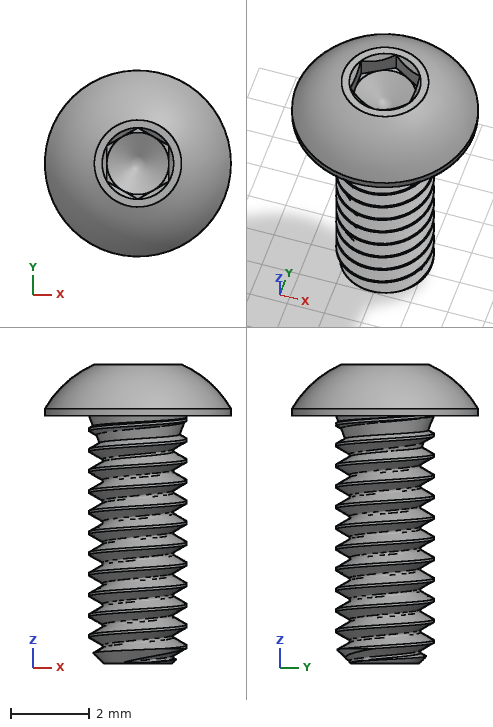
import cadquery as cq
import math

INCH = 25.4

head_diameter = 0.188 * INCH
head_height = 0.052 * INCH
rim_height = 0.18
crown_diameter = 2.23

socket_flats = INCH / 16
socket_depth = 0.55
drill_point_angle = 118

shank_length = INCH / 4
major_diameter = 0.099 * INCH
pitch = INCH / 48
flank_angle = 30
crest_width = pitch / 8
root_width = pitch / 8
first_crest_z = -0.09
neck_length = 0.89
tip_diameter = 1.74

flank_points = 20
turns_below_tip = 1
turns_in_head = 0.5
neck_overlap = 0.03

head_radius = head_diameter / 2
crown_radius = crown_diameter / 2
major_radius = major_diameter / 2
thread_depth = (pitch - crest_width - root_width) / 2 / math.tan(math.radians(flank_angle))
minor_radius = major_radius - thread_depth
neck_overlap_length = neck_length * (thread_depth + neck_overlap) / thread_depth
tip_radius = tip_diameter / 2
flat_radius = socket_flats / 2
corner_radius = flat_radius / math.cos(math.pi / 6)


def revolve_about_axis(profile):
    """Revolve an (r, z) outline drawn on the XZ plane about the Z axis."""
    return profile.close().revolve(360, (0, 0, 0), (0, 1, 0))


def make_head():
    """Spherical dome, centred on the axis, over a short cylindrical rim."""
    centre_z = (crown_radius**2 + head_height**2 - head_radius**2 - rim_height**2) / (
        2 * (head_height - rim_height)
    )
    dome_radius = math.hypot(head_radius, rim_height - centre_z)
    mid_angle = (
        math.atan2(rim_height - centre_z, head_radius)
        + math.atan2(head_height - centre_z, crown_radius)
    ) / 2
    mid_point = (
        dome_radius * math.cos(mid_angle),
        centre_z + dome_radius * math.sin(mid_angle),
    )
    return revolve_about_axis(
        cq.Workplane("XZ")
        .lineTo(head_radius, 0)
        .lineTo(head_radius, rim_height)
        .threePointArc(mid_point, (crown_radius, head_height))
        .lineTo(0, head_height)
    )


def make_neck():
    """Cone from the full shank diameter under the head down to the thread root."""
    return revolve_about_axis(
        cq.Workplane("XZ")
        .lineTo(major_radius, 0)
        .lineTo(minor_radius - neck_overlap, -neck_overlap_length)
        .lineTo(0, -neck_overlap_length)
    )


def polar_point(radius, angle):
    """Return the (x, y) point at a radius and an angle in radians."""
    return (radius * math.cos(angle), radius * math.sin(angle))


def make_threaded_rod():
    """Right-hand threaded rod, from below the tip to inside the head.

    A cut square to the axis shows a crest arc centred on +X, a root arc
    centred on -X and, between them, two spirals that form the flanks.
    """
    crest_half_angle = math.pi * crest_width / pitch
    root_half_angle = math.pi * root_width / pitch
    flank_sweep = math.pi - crest_half_angle - root_half_angle

    def falling_flank(t):
        return polar_point(major_radius - thread_depth * t, crest_half_angle + flank_sweep * t)

    def rising_flank(t):
        return polar_point(minor_radius + thread_depth * t, math.pi + root_half_angle + flank_sweep * t)

    turns_below = math.ceil((shank_length + first_crest_z) / pitch) + turns_below_tip
    turns = turns_below + turns_in_head
    start_z = first_crest_z - turns_below * pitch
    return (
        cq.Workplane("XY", origin=(0, 0, start_z))
        .moveTo(*polar_point(major_radius, -crest_half_angle))
        .threePointArc((major_radius, 0), polar_point(major_radius, crest_half_angle))
        .parametricCurve(falling_flank, N=flank_points, makeWire=False)
        .moveTo(*polar_point(minor_radius, math.pi - root_half_angle))
        .threePointArc((-minor_radius, 0), polar_point(minor_radius, math.pi + root_half_angle))
        .parametricCurve(rising_flank, N=flank_points, makeWire=False)
        .wire()
        .twistExtrude(turns * pitch, 360 * turns)
    )


def make_tip_waste():
    """Everything beyond the flat tip and its 45 degree chamfer."""
    outer_radius = major_radius + pitch
    waste_bottom = -shank_length - (turns_below_tip + 1) * pitch
    return revolve_about_axis(
        cq.Workplane("XZ")
        .moveTo(0, -shank_length)
        .lineTo(tip_radius, -shank_length)
        .lineTo(outer_radius, -shank_length + outer_radius - tip_radius)
        .lineTo(outer_radius, waste_bottom)
        .lineTo(0, waste_bottom)
    )


def make_socket():
    """Hexagon with corners on Y, a drill point below and a 45 degree chamfered mouth."""
    floor_z = head_height - socket_depth
    hexagon = (
        cq.Workplane("XY", origin=(0, 0, floor_z))
        .transformed(rotate=(0, 0, 90))
        .polygon(6, 2 * corner_radius)
        .extrude(socket_depth)
    )
    point_depth = flat_radius / math.tan(math.radians(drill_point_angle / 2))
    drill_point = revolve_about_axis(
        cq.Workplane("XZ")
        .moveTo(0, floor_z)
        .lineTo(flat_radius, floor_z)
        .lineTo(0, floor_z - point_depth)
    )
    mouth = revolve_about_axis(
        cq.Workplane("XZ")
        .moveTo(0, head_height)
        .lineTo(corner_radius, head_height)
        .lineTo(corner_radius - socket_depth, floor_z)
        .lineTo(0, floor_z)
    )
    return hexagon.union(drill_point).union(mouth)


shank = make_threaded_rod().cut(make_tip_waste()).union(make_neck())
result = shank.union(make_head()).cut(make_socket()).solids()